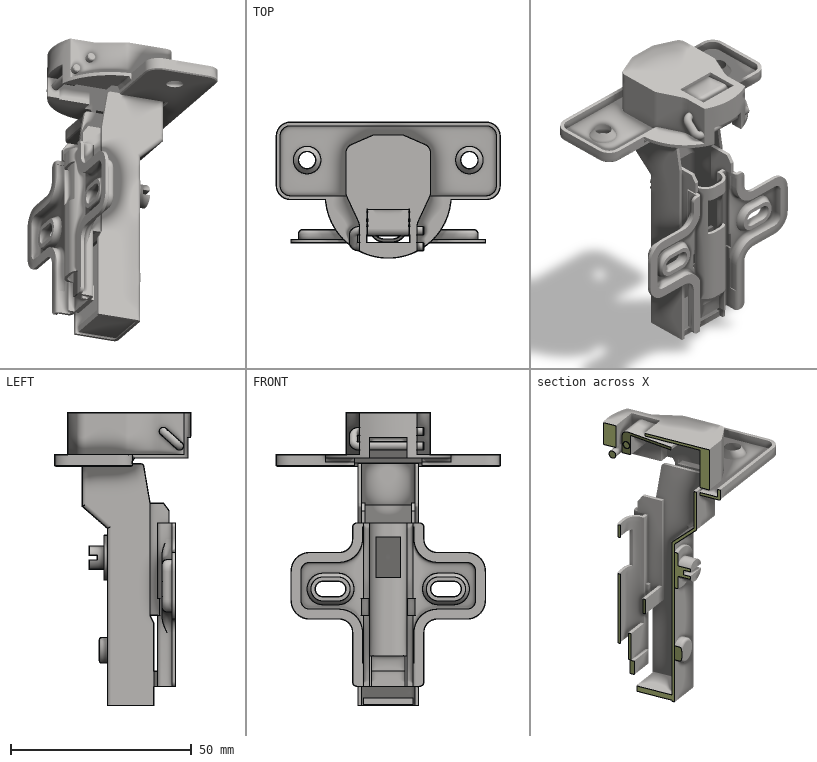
import cadquery as cq
import math


SHEET = 1.0

CUP_TOP = 81.0
PLATE_TOP = 69.4
PLATE_BOTTOM = 66.1
PLATE_WIDTH = 62.0
PLATE_FRONT = 16.2
PLATE_BACK = 37.7
PLATE_CORNER = 4.0
PLATE_EDGE_CHAMFER = 0.3
PLATE_RIM = 1.05
DISC_RADIUS = 17.4
DISC_BOTTOM = PLATE_TOP - SHEET
WEDGE_DEPTH = 0.65
WEDGE_HEIGHT = 1.05
DIMPLE_X = 22.4
DIMPLE_Y = 27.1
DIMPLE_BASE_RADIUS = 3.8
DIMPLE_TOP_RADIUS = 2.35
DIMPLE_HEIGHT = 2.0
CUP_HALF = 11.7
CUP_BACK = 34.1
CUP_BACK_HALF = 4.05
CUP_SHOULDER_BACK = 30.8
CUP_SHOULDER_FRONT = 17.5
CUP_NOSE_HALF = 7.9
CUP_NOSE_BACK = 9.5
CUP_SHOULDER_FILLET = 2.4
CUP_NECK_FILLET = 4.45
WINDOW_HALF = 5.9
WINDOW_FRONT = 4.4
WINDOW_BACK = 13.5
CAVITY_TOP = CUP_TOP - SHEET
CAVITY_HALF = 9.3
CAVITY_NECK = 13.8
CAVITY_BACK = 30.95
LIP_HALF = 5.2
LIP_TOP = 74.1

PIN_RADIUS = 1.1
PIN_UPPER = (7.6, 75.8)
PIN_LOWER = (3.15, 71.8)
PIN_END = 9.9
PIN_LOOP_X = -9.6
PIN_BEND = 1.6
PIN_CHAMFER = 0.25

LINK_HALF = 5.7
LINK_FRONT = 6.15
LINK_ROLL_BACK = 9.1
LINK_BOTTOM = 73.1
LINK_NOSE = 1.9
LINK_BACK = 21.9
LINK_BACK_DROP = 1.3

ARM_HALF = 8.4
ARM_TOP = 66.9
ARM_UPPER_BACK = 30.05
ARM_LOWER_BACK = 23.1
ARM_BEND_HIGH = 55.1
ARM_BEND_LOW = 49.0
ARM_LOWER_FRONT = 10.2
ARM_STEP_LOW = 22.85
ARM_MIDDLE_FRONT = 11.25
ARM_STEP_HIGH = 24.95
ARM_TAPER_START = 56.0
ARM_UPPER_FRONT = 13.1
ARM_TOP_FILLET = 1.0
ARM_BACK_FILLET = 1.1
ARM_INNER_HALF = ARM_HALF - SHEET
ARM_FOOT_HALF = 6.9
ARM_FOOT_LOW = 0.3
ARM_FOOT_HIGH = 2.1
ARM_FOOT_FRONT = 10.85

MOUNT_FRONT = 4.2
MOUNT_LOW = 5.3
MOUNT_HIGH = 50.55
MOUNT_HALF = 9.9
MOUNT_END_FILLET = 1.3
WING_HALF = 26.9
WING_LOW = 23.9
WING_HIGH = 42.4
WING_CORNER = 5.2
WING_NECK_FILLET = 3.65
RECESS_INSET = 2.75
RECESS_LOW = 11.75
RECESS_HIGH = 49.3
RECESS_FILLET = 0.65
TRAY_BACK = 7.9
TRAY_FILLET = 1.3
CHANNEL_HALF = 7.85
CHANNEL_BACK = 9.2
CHANNEL_FILLET = 1.2
CHANNEL_LIP_FILLET = 0.9
CHANNEL_INNER_HALF = CHANNEL_HALF - SHEET
CHANNEL_FLOOR = CHANNEL_BACK - SHEET
SLOT_X = 15.95
SLOT_Z = 32.2
SLOT_STRAIGHT = 4.2
SLOT_RADIUS = 2.1
SLOT_BOSS_TOP_RADIUS = 3.3
SLOT_BOSS_BASE_RADIUS = 4.4
SLOT_BOSS_FRONT = 5.0
RIB_HALF = 5.2
RIB_FLAT_HALF = 1.1
RIB_FRONT = 4.45
RIB_LOW = 13.8
RIB_THICKNESS = 0.9
RIB_WINDOW_HALF = 3.4
RIB_WINDOW_LOW = 35.4
RIB_WINDOW_HIGH = 46.6
LEG_FRONT = 6.8
LEG_THICKNESS = 0.6
FLOOR_TOP = 17.8
TAB_TOP = 9.55

CHEEK_THICKNESS = 1.05
CHEEK_LOW = 24.95
CHEEK_HIGH = 56.0
CHEEK_FRONT = 6.0
CHEEK_BACK = 13.8
CHEEK_CUT_DEPTH = 1.5
CHEEK_CUT_HEIGHT = 2.1
HOOK_INNER = 5.3
HOOK_HIGH = 29.6
HOOK_FRONT = 8.7

SCREW_Z = 40.9
SCREW_RADIUS = 3.2
SCREW_BACK = 28.1
SCREW_FLANGE_RADIUS = 6.2
SCREW_FLANGE_THICKNESS = 1.0
SCREW_FLANGE_FILLET = 0.3
SCREW_SLOT_WIDTH = 1.3
SCREW_SLOT_DEPTH = 2.2
RIVET_Z = 15.3
RIVET_RADIUS = 3.6
RIVET_HEIGHT = 2.3
RIVET_FILLET = 0.8


def block(x, y, z):
    """Box from (min, max) pairs along the three axes."""
    size = [high - low for low, high in (x, y, z)]
    return cq.Workplane("XY").box(*size, centered=False).translate((x[0], y[0], z[0]))


def side_prism(points, half_width):
    """Prism of a (Y, Z) outline, symmetric about X = 0."""
    return cq.Workplane("YZ").polyline(points).close().extrude(half_width, both=True)


def backward_cylinder(radius, z, front, back):
    """Cylinder along Y on the hinge centre line."""
    return cq.Workplane("XZ", origin=(0, back, z)).circle(radius).extrude(back - front)


def mirrored_pair(solid):
    return solid.union(solid.mirror("YZ"))




def screw_plate():
    depth = PLATE_BACK - PLATE_FRONT
    middle = (PLATE_FRONT + PLATE_BACK) / 2
    plate = (
        cq.Workplane("XY", origin=(0, middle, PLATE_BOTTOM))
        .rect(PLATE_WIDTH, depth)
        .extrude(PLATE_TOP - PLATE_BOTTOM)
        .edges("|Z").fillet(PLATE_CORNER)
        .faces("<Z").edges().chamfer(PLATE_EDGE_CHAMFER)
    )
    tray = (
        cq.Workplane("XY", origin=(0, middle, PLATE_BOTTOM + SHEET))
        .rect(PLATE_WIDTH - 2 * PLATE_RIM, depth - 2 * PLATE_RIM)
        .extrude(PLATE_TOP - PLATE_BOTTOM)
        .edges("|Z").fillet(PLATE_CORNER - PLATE_RIM)
    )
    plate = plate.cut(tray)
    for x in (-DIMPLE_X, DIMPLE_X):
        base = cq.Workplane("XY", origin=(x, DIMPLE_Y, PLATE_BOTTOM + SHEET))
        cone = (
            base.circle(DIMPLE_BASE_RADIUS)
            .workplane(offset=DIMPLE_HEIGHT).circle(DIMPLE_TOP_RADIUS)
            .loft()
        )
        hole = base.circle(DIMPLE_TOP_RADIUS).extrude(2 * DIMPLE_HEIGHT, both=True)
        plate = plate.union(cone).cut(hole)
    return plate


def cup_disc():
    """Front part of the round flange with a small wedge against the screw plate."""
    disc_end = PLATE_FRONT + PLATE_RIM
    disc = cq.Workplane("XY", origin=(0, DISC_RADIUS, DISC_BOTTOM)).circle(DISC_RADIUS).extrude(SHEET)
    disc = disc.intersect(
        block((-DISC_RADIUS, DISC_RADIUS), (0, disc_end), (DISC_BOTTOM, PLATE_TOP))
    )
    wedge = side_prism(
        [
            (PLATE_FRONT, DISC_BOTTOM - WEDGE_HEIGHT),
            (PLATE_FRONT, DISC_BOTTOM),
            (PLATE_FRONT - WEDGE_DEPTH, DISC_BOTTOM),
        ],
        DISC_RADIUS,
    )
    return disc.union(wedge)


def cup_body():
    nose_front = DISC_RADIUS - math.sqrt(DISC_RADIUS**2 - CUP_NOSE_HALF**2)
    body = (
        cq.Workplane("XY", origin=(0, 0, DISC_BOTTOM))
        .moveTo(-CUP_NOSE_HALF, nose_front)
        .threePointArc((0, 0), (CUP_NOSE_HALF, nose_front))
        .lineTo(CUP_NOSE_HALF, CUP_NOSE_BACK)
        .lineTo(CUP_HALF, CUP_SHOULDER_FRONT)
        .lineTo(CUP_HALF, CUP_SHOULDER_BACK)
        .lineTo(CUP_BACK_HALF, CUP_BACK)
        .lineTo(-CUP_BACK_HALF, CUP_BACK)
        .lineTo(-CUP_HALF, CUP_SHOULDER_BACK)
        .lineTo(-CUP_HALF, CUP_SHOULDER_FRONT)
        .lineTo(-CUP_NOSE_HALF, CUP_NOSE_BACK)
        .close()
        .extrude(CUP_TOP - DISC_BOTTOM)
    )
    shoulders = body.edges("|Z").filter(lambda edge: abs(edge.Center().x) > CUP_HALF - 0.1)
    body = shoulders.fillet(CUP_SHOULDER_FILLET)
    neck = body.edges("|Z").filter(lambda edge: abs(edge.Center().y - CUP_NOSE_BACK) < 0.1)
    return neck.fillet(CUP_NECK_FILLET)


def make_cup():
    cup = screw_plate().union(cup_disc()).union(cup_body())
    cavity_height = (PLATE_BOTTOM, CAVITY_TOP)
    narrow = block((-WINDOW_HALF, WINDOW_HALF), (WINDOW_FRONT, CAVITY_BACK), cavity_height)
    wide = block((-CAVITY_HALF, CAVITY_HALF), (CAVITY_NECK, CAVITY_BACK), cavity_height)
    window = block(
        (-WINDOW_HALF, WINDOW_HALF), (WINDOW_FRONT, WINDOW_BACK), (PLATE_TOP, CUP_TOP)
    )
    lip_opening = block((-LIP_HALF, LIP_HALF), (-SHEET, WINDOW_FRONT), (PLATE_BOTTOM, LIP_TOP))
    for opening in (narrow, wide, window, lip_opening):
        cup = cup.cut(opening)
    return cup.cut(pin_holes())




def make_pin():
    """Round wire with two straight legs along X and a loop at the -X end."""
    rise_y = PIN_UPPER[0] - PIN_LOWER[0]
    rise_z = PIN_UPPER[1] - PIN_LOWER[1]
    leg_spacing = math.hypot(rise_y, rise_z)
    plane = cq.Plane(
        origin=(0, *PIN_LOWER), xDir=(1, 0, 0), normal=(0, -rise_z, rise_y)
    )
    bend_start = PIN_LOOP_X + PIN_BEND
    bend_middle = PIN_BEND * (1 - math.sqrt(0.5))
    path = (
        cq.Workplane(plane)
        .moveTo(PIN_END, 0)
        .lineTo(bend_start, 0)
        .threePointArc((PIN_LOOP_X + bend_middle, bend_middle), (PIN_LOOP_X, PIN_BEND))
        .lineTo(PIN_LOOP_X, leg_spacing - PIN_BEND)
        .threePointArc(
            (PIN_LOOP_X + bend_middle, leg_spacing - bend_middle), (bend_start, leg_spacing)
        )
        .lineTo(PIN_END, leg_spacing)
    )
    profile = cq.Workplane("YZ", origin=(PIN_END, *PIN_LOWER)).circle(PIN_RADIUS)
    return profile.sweep(path).faces(">X").edges().chamfer(PIN_CHAMFER)


def pin_holes():
    """Straight cylinders that take the two legs of the pin."""
    length = PIN_END - PIN_LOOP_X - PIN_BEND
    start = PIN_LOOP_X + PIN_BEND
    lower, upper = (
        cq.Workplane("YZ", origin=(start, *centre)).circle(PIN_RADIUS).extrude(length)
        for centre in (PIN_LOWER, PIN_UPPER)
    )
    return lower.union(upper)




def make_link():
    link = side_prism(
        [
            (LINK_FRONT, LINK_BOTTOM),
            (LINK_FRONT, CAVITY_TOP),
            (LINK_FRONT + LINK_NOSE, CAVITY_TOP),
            (LINK_BACK, CAVITY_TOP - LINK_BACK_DROP),
            (LINK_BACK, CAVITY_TOP - LINK_BACK_DROP - SHEET),
            (LINK_ROLL_BACK, CAVITY_TOP - SHEET),
            (LINK_ROLL_BACK, LINK_BOTTOM),
        ],
        LINK_HALF,
    )
    nose = link.edges("|X").filter(
        lambda edge: edge.Center().y < LINK_FRONT + 0.1 and edge.Center().z > CAVITY_TOP - 0.1
    )
    return nose.fillet(LINK_NOSE - 0.1).cut(pin_holes())




def round_back(channel):
    """Round the long edges between the sides and the back of an arm-shaped prism."""
    side_x = channel.vertices(">X").val().X
    back = channel.edges().filter(
        lambda edge: abs(abs(edge.Center().x) - side_x) < 0.01
        and edge.Center().y > ARM_LOWER_BACK - 2 * SHEET
        and 0 < edge.Center().z < ARM_TOP
    )
    return back.fillet(ARM_BACK_FILLET)


def make_arm():
    outer = side_prism(
        [
            (ARM_LOWER_FRONT, 0),
            (ARM_LOWER_FRONT, ARM_STEP_LOW),
            (ARM_MIDDLE_FRONT, ARM_STEP_HIGH),
            (ARM_MIDDLE_FRONT, ARM_TAPER_START),
            (ARM_UPPER_FRONT, ARM_TOP),
            (ARM_UPPER_BACK, ARM_TOP),
            (ARM_UPPER_BACK, ARM_BEND_HIGH),
            (ARM_LOWER_BACK, ARM_BEND_LOW),
            (ARM_LOWER_BACK, 0),
        ],
        ARM_HALF,
    )
    top_corner = outer.edges("|X").filter(
        lambda edge: edge.Center().y < ARM_UPPER_FRONT + 0.1 and edge.Center().z > ARM_TOP - 0.1
    )
    outer = round_back(top_corner.fillet(ARM_TOP_FILLET))
    slope = math.atan2(ARM_UPPER_BACK - ARM_LOWER_BACK, ARM_BEND_HIGH - ARM_BEND_LOW)
    bend_shift = SHEET * math.tan(slope / 2)
    inner = side_prism(
        [
            (0, 0),
            (0, ARM_TOP),
            (ARM_UPPER_BACK - SHEET, ARM_TOP),
            (ARM_UPPER_BACK - SHEET, ARM_BEND_HIGH + bend_shift),
            (ARM_LOWER_BACK - SHEET, ARM_BEND_LOW + bend_shift),
            (ARM_LOWER_BACK - SHEET, 0),
        ],
        ARM_INNER_HALF,
    )
    foot = block(
        (-ARM_FOOT_HALF, ARM_FOOT_HALF),
        (ARM_FOOT_FRONT, ARM_LOWER_BACK - SHEET / 2),
        (ARM_FOOT_LOW, ARM_FOOT_HIGH),
    )
    return outer.cut(round_back(inner)).union(foot)




def cross_slab(inset, low, high, front, back):
    """Cross outline of the mounting plate moved inwards by inset, from front to back along Y."""
    body_half = MOUNT_HALF - inset
    wing_half = WING_HALF - inset
    body = block((-body_half, body_half), (front, back), (low, high))
    wing = block(
        (-wing_half, wing_half), (front, back), (WING_LOW + inset, WING_HIGH - inset)
    )
    wing = wing.edges("|Y").fillet(WING_CORNER - inset)
    cross = body.union(wing)
    necks = cross.edges("|Y").filter(
        lambda edge: abs(abs(edge.Center().x) - body_half) < 0.01
        and low + 0.1 < edge.Center().z < high - 0.1
    )
    return necks.fillet(WING_NECK_FILLET + inset)


def slot_prism(x, radius, front, back):
    return (
        cq.Workplane("XZ", origin=(x, back, SLOT_Z))
        .slot2D(SLOT_STRAIGHT + 2 * radius, 2 * radius)
        .extrude(back - front)
    )


def slot_boss(x):
    """Raised tapered collar around a wing slot."""
    height = TRAY_BACK - SHEET - SLOT_BOSS_FRONT
    taper = math.degrees(math.atan2(SLOT_BOSS_BASE_RADIUS - SLOT_BOSS_TOP_RADIUS, height))
    return (
        cq.Workplane("XZ", origin=(x, TRAY_BACK - SHEET, SLOT_Z))
        .slot2D(SLOT_STRAIGHT + 2 * SLOT_BOSS_BASE_RADIUS, 2 * SLOT_BOSS_BASE_RADIUS)
        .extrude(height, taper=taper)
    )


def rib_profile(offset, low, high):
    """Arched prism that bulges to the front; offset moves its surface inwards."""
    half = RIB_HALF - offset
    front = RIB_FRONT + offset
    return (
        block((-half, half), (front, CHANNEL_BACK), (low, high))
        .faces("<Y").edges("|Z").fillet(RIB_HALF - RIB_FLAT_HALF - offset)
    )


def flange_and_trays():
    flange = cross_slab(0, MOUNT_LOW, MOUNT_HIGH, MOUNT_FRONT, MOUNT_FRONT + SHEET)
    ends = flange.edges("|Y").filter(
        lambda edge: abs(edge.Center().z - MOUNT_LOW) < 0.01
        or abs(edge.Center().z - MOUNT_HIGH) < 0.01
    )
    flange = ends.fillet(MOUNT_END_FILLET)
    tray = cross_slab(MOUNT_HALF - CHANNEL_HALF, MOUNT_LOW, MOUNT_HIGH, MOUNT_FRONT, TRAY_BACK)
    tray = tray.faces(">Y").edges().fillet(TRAY_FILLET)
    channel = block(
        (-CHANNEL_HALF, CHANNEL_HALF), (MOUNT_FRONT, CHANNEL_BACK), (MOUNT_LOW, MOUNT_HIGH)
    )
    channel = channel.faces(">Y").edges("|Z").fillet(CHANNEL_FILLET)
    recess = cross_slab(RECESS_INSET, RECESS_LOW, RECESS_HIGH, MOUNT_FRONT, TRAY_BACK - SHEET)
    recess = recess.faces(">Y").edges().fillet(RECESS_FILLET)
    groove = block(
        (-CHANNEL_INNER_HALF, CHANNEL_INNER_HALF),
        (MOUNT_FRONT, CHANNEL_FLOOR),
        (MOUNT_LOW, MOUNT_HIGH),
    )
    lip_cut = groove_lip_cut()
    return flange.union(tray).union(channel).cut(recess).cut(groove).cut(lip_cut)


def groove_lip_cut():
    """Removes the sharp front corners of the groove, leaving them round."""
    radius = CHANNEL_LIP_FILLET
    length = MOUNT_HIGH - MOUNT_LOW
    corner = block(
        (CHANNEL_INNER_HALF, CHANNEL_INNER_HALF + radius),
        (MOUNT_FRONT, MOUNT_FRONT + radius),
        (MOUNT_LOW, MOUNT_HIGH),
    )
    rounding = (
        cq.Workplane("XY", origin=(CHANNEL_INNER_HALF + radius, MOUNT_FRONT + radius, MOUNT_LOW))
        .circle(radius)
        .extrude(length)
    )
    return mirrored_pair(corner.cut(rounding))


def rib_and_floor():
    """Arched rib, its two legs below, and the floor with the stepped tab between the legs."""
    rib = rib_profile(0, RIB_LOW, MOUNT_HIGH).cut(rib_profile(RIB_THICKNESS, RIB_LOW, MOUNT_HIGH))
    window = block(
        (-RIB_WINDOW_HALF, RIB_WINDOW_HALF),
        (MOUNT_FRONT, CHANNEL_FLOOR),
        (RIB_WINDOW_LOW, RIB_WINDOW_HIGH),
    )
    leg = block(
        (RIB_HALF - LEG_THICKNESS, RIB_HALF), (LEG_FRONT, CHANNEL_BACK), (MOUNT_LOW, RIB_LOW)
    )
    floor = block((-RIB_HALF, RIB_HALF), (CHANNEL_FLOOR, CHANNEL_BACK), (TAB_TOP, FLOOR_TOP))
    tab = block(
        (-RIB_HALF, RIB_HALF), (CHANNEL_BACK - SHEET / 2, ARM_LOWER_FRONT), (MOUNT_LOW, TAB_TOP)
    )
    return rib.cut(window).union(mirrored_pair(leg)).union(floor).union(tab)


def hook_openings():
    """Holes and side notches in the channel for the two hooks of the guide bracket."""
    height = (CHEEK_LOW, HOOK_HIGH)
    hole = block((HOOK_INNER, ARM_INNER_HALF), (MOUNT_FRONT, CHANNEL_BACK), height)
    notch = block((HOOK_INNER, CHANNEL_HALF), (HOOK_FRONT, CHANNEL_BACK), height)
    return mirrored_pair(hole.union(notch))


def make_mounting_plate():
    plate = flange_and_trays()
    plate = plate.cut(
        block((-RIB_HALF, RIB_HALF), (MOUNT_FRONT, CHANNEL_BACK), (MOUNT_LOW, MOUNT_HIGH))
    )
    plate = plate.union(rib_and_floor())
    for x in (-SLOT_X, SLOT_X):
        plate = plate.union(slot_boss(x))
        plate = plate.cut(slot_prism(x, SLOT_RADIUS, MOUNT_FRONT, TRAY_BACK))
    return plate.cut(hook_openings())




def make_bracket():
    """Two cheeks inside the arm walls, each with a hook, joined by a low cross bar."""
    cheek_inner = ARM_INNER_HALF - CHEEK_THICKNESS
    profile = [
        (CHANNEL_BACK, CHEEK_LOW),
        (CHEEK_BACK, CHEEK_LOW),
        (CHEEK_BACK, CHEEK_HIGH),
        (CHEEK_FRONT + CHEEK_CUT_DEPTH, CHEEK_HIGH),
        (CHEEK_FRONT, CHEEK_HIGH - CHEEK_CUT_HEIGHT),
        (CHEEK_FRONT, MOUNT_HIGH),
        (CHANNEL_BACK, MOUNT_HIGH),
    ]
    cheek = (
        cq.Workplane("YZ", origin=(cheek_inner, 0, 0))
        .polyline(profile).close()
        .extrude(CHEEK_THICKNESS)
    )
    hook = block(
        (HOOK_INNER, ARM_INNER_HALF), (HOOK_FRONT, CHANNEL_BACK + SHEET), (CHEEK_LOW, HOOK_HIGH)
    )
    bar = block(
        (-cheek_inner, cheek_inner), (CHEEK_BACK - SHEET, CHEEK_BACK), (CHEEK_LOW, HOOK_HIGH)
    )
    return mirrored_pair(cheek.union(hook)).union(bar)




def make_screw():
    flange_back = ARM_LOWER_BACK + SCREW_FLANGE_THICKNESS
    flange = backward_cylinder(SCREW_FLANGE_RADIUS, SCREW_Z, ARM_LOWER_BACK, flange_back)
    flange = flange.faces(">Y").edges().fillet(SCREW_FLANGE_FILLET)
    shank = backward_cylinder(SCREW_RADIUS, SCREW_Z, ARM_LOWER_BACK, SCREW_BACK)
    slot = block(
        (-SCREW_RADIUS, SCREW_RADIUS),
        (SCREW_BACK - SCREW_SLOT_DEPTH, SCREW_BACK),
        (SCREW_Z - SCREW_SLOT_WIDTH / 2, SCREW_Z + SCREW_SLOT_WIDTH / 2),
    )
    return flange.union(shank).cut(slot)


def make_rivet():
    head = backward_cylinder(
        RIVET_RADIUS, RIVET_Z, ARM_LOWER_BACK, ARM_LOWER_BACK + RIVET_HEIGHT
    )
    return head.faces(">Y").edges().fillet(RIVET_FILLET)


pin = make_pin()
cup = make_cup()
link = make_link()
arm = make_arm()
mounting_plate = make_mounting_plate()
bracket = make_bracket()
screw = make_screw()
rivet = make_rivet()

bodies = (cup, pin, link, arm, mounting_plate, bracket, screw, rivet)
result = cq.Compound.makeCompound([body.val() for body in bodies])